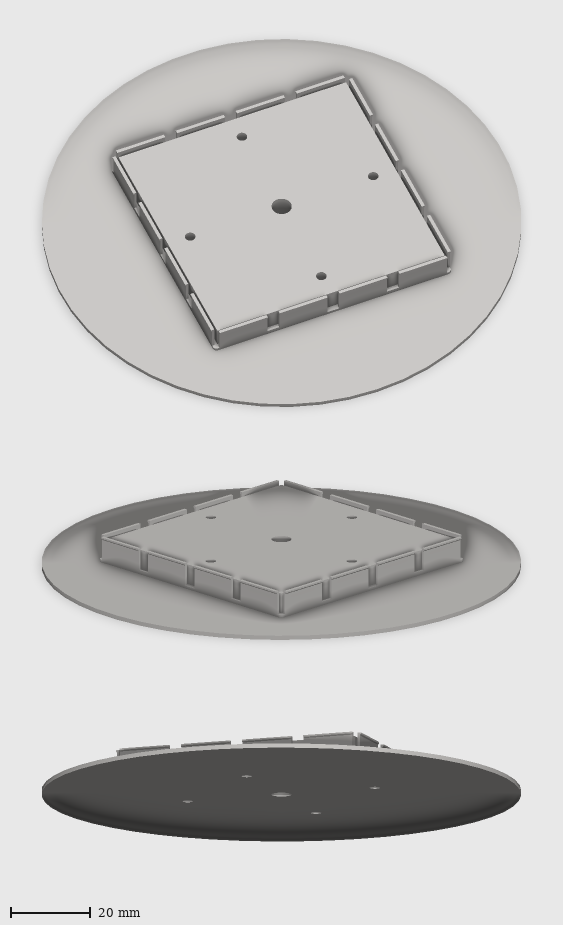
import cadquery as cq

disc_diameter = 120.0
disc_thickness = 1.1
plateau_side = 62.0
plateau_top = 7.0

rim_side = 64.8
rim_top = 1.8
rim_corner_radius = 1.0

wall_thickness = 0.58
wall_top = 7.8
lip_overhang = 0.3
lip_edge_height = 0.42

slot_width = 3.2
slots_per_wall = 3
side_slot_floor = 2.2
tab_length = (plateau_side - slots_per_wall * slot_width) / (slots_per_wall + 1)
slot_pitch = tab_length + slot_width

center_hole_diameter = 5.0
mount_hole_diameter = 2.6
mount_hole_radius = 25.0


def square_block(side, top):
    """Square block centred on the axis, from the underside up to the given height."""
    return cq.Workplane("XY").rect(side, side).extrude(top)


def clip_wall():
    """Slotted wall on the -Y side; its lip tapers back to the outer face below."""
    outer = -rim_side / 2
    inner = outer + wall_thickness
    lip = outer - lip_overhang
    lip_bottom = wall_top - lip_edge_height
    profile = [
        (inner, disc_thickness),
        (outer, disc_thickness),
        (outer, lip_bottom - lip_overhang),
        (lip, lip_bottom),
        (lip, wall_top),
        (inner, wall_top),
    ]
    wall = cq.Workplane("YZ").polyline(profile).close().extrude(plateau_side / 2, both=True)

    for index in range(slots_per_wall):
        offset = index - (slots_per_wall - 1) / 2
        floor = rim_top if offset == 0 else side_slot_floor
        slot = (
            cq.Workplane("XY", origin=(offset * slot_pitch, outer, floor))
            .rect(slot_width, 2 * (wall_thickness + lip_overhang))
            .extrude(wall_top)
        )
        wall = wall.cut(slot)
    return wall


disc = cq.Workplane("XY").circle(disc_diameter / 2).extrude(disc_thickness)
rim = square_block(rim_side, rim_top).edges("|Z").fillet(rim_corner_radius)
body = disc.union(rim).union(square_block(plateau_side, plateau_top))

wall = clip_wall()
for side in range(4):
    body = body.union(wall.rotate((0, 0, 0), (0, 0, 1), 90 * side))

center_hole = cq.Workplane("XY").circle(center_hole_diameter / 2).extrude(plateau_top)
mount_holes = (
    cq.Workplane("XY")
    .polarArray(mount_hole_radius, 0, 360, 4)
    .circle(mount_hole_diameter / 2)
    .extrude(plateau_top)
)
result = body.cut(center_hole).cut(mount_holes).clean()